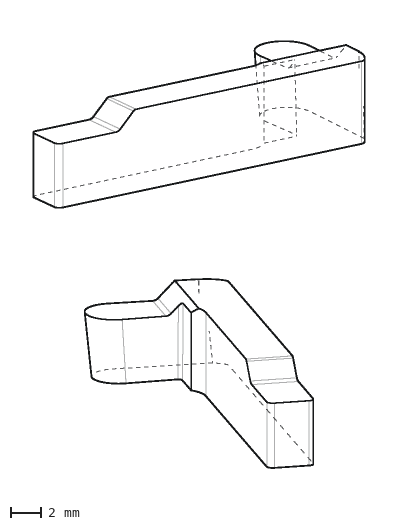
import cadquery as cq
import math

length = 25.55
width = 10.0
height = 5.8
ledge_z = 4.5

nose_radius = 1.97
nose_base_radius = 1.81
nose_base_x = 0.45
side_angle = math.radians(1.7)
head_y = length - nose_radius

stem_left = 6.8
neck_left = 6.15
neck_start_y = 19.14
neck_arc_end_y = 17.68
elbow_radius = 0.25
tail_corner_radius = 0.4

back_arc_x = 8.18
back_arc_y = 25.37
back_arc_radius = 2.43
back_corner_radius = 0.5

head_slope_x = 6.57
tail_slope_y = 6.18
slope_run = height - ledge_z
slope_foot_radius = 0.5
tail_crest_radius = 0.3
overrun = 2.55


def head_outline(z):
    """Head section at height z: a round nose with two straight converging sides."""
    share = z / ledge_z
    radius = nose_base_radius + (nose_radius - nose_base_radius) * share
    nose_x = nose_base_x * (1 - share)
    center_x = nose_x + radius
    tangent_x = center_x + radius * math.sin(side_angle)
    tangent_offset = radius * math.cos(side_angle)
    end_offset = tangent_offset - (width - tangent_x) * math.tan(side_angle)
    return (
        cq.Workplane("XY", origin=(0, 0, z))
        .moveTo(width, head_y - end_offset)
        .lineTo(width, head_y + end_offset)
        .lineTo(tangent_x, head_y + tangent_offset)
        .threePointArc((nose_x, head_y), (tangent_x, head_y - tangent_offset))
        .close()
        .val()
    )


def make_head():
    head = cq.Workplane(cq.Solid.makeLoft([head_outline(0), head_outline(height)], True))
    reach = width - back_arc_x
    arc_center_y = back_arc_y - back_arc_radius
    disc = cq.Workplane("XY").center(back_arc_x, arc_center_y).circle(back_arc_radius).extrude(height)
    outside_arc = (
        cq.Workplane("XY", origin=(back_arc_x, arc_center_y, 0))
        .box(reach, length - arc_center_y, height, centered=False)
        .cut(disc)
    )
    corner_y = arc_center_y + math.sqrt(back_arc_radius**2 - reach**2)
    corner = cq.selectors.NearestToPointSelector((width, corner_y, height / 2))
    return head.cut(outside_arc).edges(corner).fillet(back_corner_radius)


def make_stem():
    offset = stem_left - neck_left
    rise = neck_start_y - neck_arc_end_y
    blend_radius = (offset**2 + rise**2) / (2 * offset)
    stem_top_y = head_y - nose_radius / 2
    return (
        cq.Workplane("XY")
        .moveTo(stem_left, 0)
        .lineTo(width, 0)
        .lineTo(width, stem_top_y)
        .lineTo(neck_left, stem_top_y)
        .lineTo(neck_left, neck_start_y)
        .radiusArc((stem_left, neck_arc_end_y), blend_radius)
        .close()
        .extrude(height)
        .edges("|Z and <Y")
        .fillet(tail_corner_radius)
    )


def make_step_cutter(plane, slope_top, depth):
    """Prism above a ledge, from outside the part up a 45 degree slope with a rounded foot."""
    foot = slope_top - slope_run
    profile = [(-overrun, ledge_z), (foot, ledge_z), (slope_top, height), (-overrun, height)]
    cutter = cq.Workplane(plane).polyline(profile).close().extrude(depth)
    foot_edge = cq.selectors.NearestToPointSelector(
        cutter.plane.toWorldCoords((foot, ledge_z, depth / 2)).toTuple()
    )
    return cutter.edges(foot_edge).fillet(slope_foot_radius)


def round_elbow(part):
    """Round the inside corner between the head and the neck."""
    corner = (neck_left, head_y - nose_radius, height / 2)
    return part.edges(cq.selectors.NearestToPointSelector(corner)).fillet(elbow_radius)


def round_tail_crest(part):
    """Round the edge where the tail slope meets the top face."""
    crest = ((stem_left + width) / 2, tail_slope_y, height)
    return part.edges(cq.selectors.NearestToPointSelector(crest)).fillet(tail_crest_radius)


body = round_elbow(make_head().union(make_stem()))

head_step = make_step_cutter("XZ", head_slope_x, -(length + overrun))
tail_step = make_step_cutter("YZ", tail_slope_y, width)
result = round_tail_crest(body.cut(head_step).cut(tail_step))